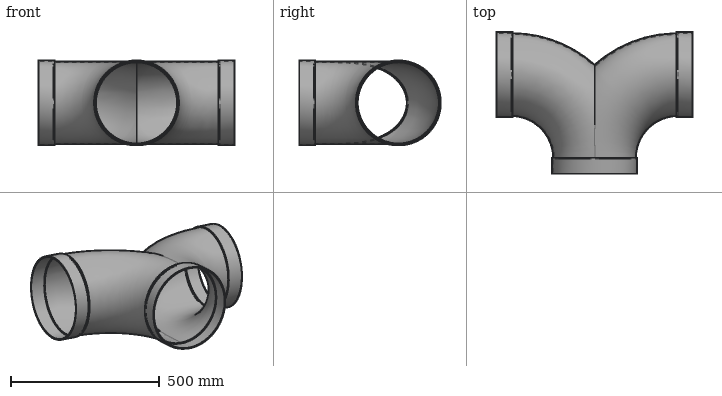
import cadquery as cq

overall_length = 660.0
collar_outer_diameter = 287.0
collar_length = 54.0
pipe_outer_diameter = 280.0
pipe_bore = 272.5
bend_radius = 280.0

socket_diameter = pipe_outer_diameter
socket_depth = overall_length / 2 - bend_radius
pipe_overlap = collar_length - socket_depth

openings = [
    ((0, -collar_length, 0), (0, 1, 0)),
    ((-overall_length / 2, bend_radius, 0), (1, 0, 0)),
    ((overall_length / 2, bend_radius, 0), (-1, 0, 0)),
]


def elbow(diameter, side):
    """Solid 90 degree bend from the inlet to the branch at side = -1 or +1."""
    profile = cq.Workplane("XZ").circle(diameter / 2)
    pivot_x = side * bend_radius
    axis_direction = -side
    return profile.revolve(90, (pivot_x, 0), (pivot_x, axis_direction))


def branched_pipe(diameter):
    """Both bends merged, with a short straight inlet reaching into its collar."""
    inlet = cq.Workplane("XZ").circle(diameter / 2).extrude(pipe_overlap)
    return elbow(diameter, -1).union(elbow(diameter, 1)).union(inlet)


def mouth_cylinder(diameter, depth, mouth, inward):
    """Solid cylinder reaching inward from the mouth of an opening."""
    plane = cq.Plane(origin=mouth, xDir=(0, 0, 1), normal=inward)
    return cq.Workplane(plane).circle(diameter / 2).extrude(depth)


body = branched_pipe(pipe_outer_diameter)
passage = branched_pipe(pipe_bore)
for mouth, inward in openings:
    body = body.union(mouth_cylinder(collar_outer_diameter, collar_length, mouth, inward))
    passage = passage.union(mouth_cylinder(socket_diameter, socket_depth, mouth, inward))

result = body.cut(passage)